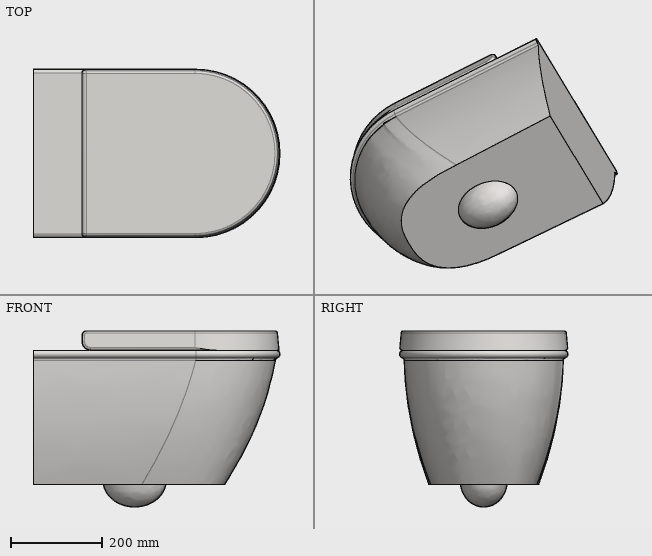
import cadquery as cq
import math


TOTAL_HEIGHT = 386.14

LENGTH = 540.0
WIDTH = 369.1
BEAD_RADIUS = 17.0 / 2
COVE_RADIUS = 6.0
WALL_INSET = 10.0

LID_HEIGHT = 42.6
LID_BACK_X = 106.3
LID_LEAN = 4.0
LID_NOSE_GAP = 2.0
LID_BACK_TOP_RADIUS = 10.0
LID_BACK_BOTTOM_RADIUS = 19.0
LID_EDGE_RADIUS = 5.5

OUTLET_X = 221.5
OUTLET_CENTRE_Z = 10.0
OUTLET_HALF_LENGTH = 68.6
OUTLET_HALF_WIDTH = 51.5
OUTLET_DEPTH = 49.0

FOOT_HALF_WIDTH = 120.3
FOOT_NOSE_START_X = 237.0
FOOT_NOSE_TIP_X = 418.7
SIDE_BOW = 12.0
NOSE_START_BOW = 12.0
NOSE_TIP_BOW = 16.0
FOOT_SIDE_TAPER = 4.0
CIRCLE_POWER = 2.0
FOOT_NOSE_POWER = 2.6
BLUNTING_RATE = 3
NOSE_STEPS = 16
WALL_SECTIONS = 5

RIM_TOP = TOTAL_HEIGHT - OUTLET_DEPTH - LID_HEIGHT
HALF_WIDTH = WIDTH / 2
RIM_NOSE_X = LENGTH - HALF_WIDTH
LID_NOSE_X = RIM_NOSE_X - LID_NOSE_GAP
LID_TOP_HALF_WIDTH = HALF_WIDTH - LID_LEAN

WALL_TOP_HALF_WIDTH = HALF_WIDTH - WALL_INSET
BEAD_Y = HALF_WIDTH - BEAD_RADIUS
BEAD_Z = RIM_TOP - BEAD_RADIUS
COVE_Y = WALL_TOP_HALF_WIDTH + COVE_RADIUS
COVE_ANGLE = math.acos((COVE_Y - BEAD_Y) / (BEAD_RADIUS + COVE_RADIUS))
WALL_TOP = BEAD_Z - (BEAD_RADIUS + COVE_RADIUS) * math.sin(COVE_ANGLE)


def bowed(foot, top, bow, t):
    """Value at height fraction t on a curve from foot to top that bows outwards."""
    return foot + (top - foot) * t + 4 * bow * t * (1 - t)


def nose_point(angle, length, half_width, power):
    """Point of a half superellipse, with angle running from -90 to 90 degrees across the nose."""
    along = length * math.cos(angle) ** (2 / power)
    across = half_width * math.copysign(abs(math.sin(angle)) ** (2 / power), angle)
    return along, across


def wall_outline(t):
    """Level outline of the bowl at height fraction t: straight sides and a superelliptic nose."""
    back_half = bowed(FOOT_HALF_WIDTH, WALL_TOP_HALF_WIDTH, SIDE_BOW, t)
    front_half = back_half - FOOT_SIDE_TAPER * (1 - t)
    nose_start = bowed(FOOT_NOSE_START_X, RIM_NOSE_X, NOSE_START_BOW, t)
    nose_tip = bowed(FOOT_NOSE_TIP_X, RIM_NOSE_X + WALL_TOP_HALF_WIDTH, NOSE_TIP_BOW, t)
    power = CIRCLE_POWER + (FOOT_NOSE_POWER - CIRCLE_POWER) * (1 - t) ** BLUNTING_RATE

    nose = []
    for i in range(1, NOSE_STEPS):
        angle = math.pi * (i / NOSE_STEPS - 1 / 2)
        along, across = nose_point(angle, nose_tip - nose_start, front_half, power)
        nose.append((nose_start + along, across))
    nose.append((nose_start, front_half))

    return (
        cq.Workplane("XY", origin=(0, 0, WALL_TOP * t))
        .moveTo(0, -back_half)
        .lineTo(nose_start, -front_half)
        .spline(nose, tangents=[(1, 0), (-1, 0)], includeCurrent=True)
        .lineTo(0, back_half)
        .close()
        .val()
    )


def make_wall():
    steps = WALL_SECTIONS - 1
    outlines = [wall_outline(i / steps) for i in range(WALL_SECTIONS)]
    return cq.Workplane(cq.Solid.makeLoft(outlines))


def rim_profile(x):
    """Half cross-section of the rim at X = x, from the symmetry plane out to the bead."""
    touch = (
        BEAD_Y + BEAD_RADIUS * math.cos(COVE_ANGLE),
        BEAD_Z - BEAD_RADIUS * math.sin(COVE_ANGLE),
    )
    return (
        cq.Workplane("YZ", origin=(x, 0, 0))
        .moveTo(0, WALL_TOP)
        .lineTo(WALL_TOP_HALF_WIDTH, WALL_TOP)
        .radiusArc(touch, COVE_RADIUS)
        .threePointArc((HALF_WIDTH, BEAD_Z), (BEAD_Y, RIM_TOP))
        .lineTo(0, RIM_TOP)
        .close()
    )


def make_rim():
    left_side = rim_profile(0).extrude(RIM_NOSE_X)
    right_side = left_side.mirror("XZ")
    nose = rim_profile(RIM_NOSE_X).revolve(180, (0, 1), (0, 0))
    return left_side.union(right_side).union(nose)


def make_outlet():
    """Lower half of a unit ball, stretched along each axis; its rim is sunk into the bowl."""
    semi_height = OUTLET_DEPTH + OUTLET_CENTRE_Z
    foot_ratio = math.sqrt(1 - (OUTLET_CENTRE_Z / semi_height) ** 2)
    half_ball = cq.Solid.makeSphere(1, angleDegrees1=-90, angleDegrees2=0)
    stretch = cq.Matrix(
        [
            [OUTLET_HALF_LENGTH / foot_ratio, 0, 0, OUTLET_X],
            [0, OUTLET_HALF_WIDTH / foot_ratio, 0, 0],
            [0, 0, semi_height, OUTLET_CENTRE_Z],
        ]
    )
    return cq.Workplane(half_ball.transformGeometry(stretch))


def make_bowl():
    return make_wall().union(make_rim()).union(make_outlet())


def lid_bar(x_start, x_end):
    """Straight lid bar whose sides lean in towards the top."""
    return (
        cq.Workplane("YZ", origin=(x_start, 0, RIM_TOP))
        .moveTo(-HALF_WIDTH, 0)
        .lineTo(HALF_WIDTH, 0)
        .lineTo(LID_TOP_HALF_WIDTH, LID_HEIGHT)
        .lineTo(-LID_TOP_HALF_WIDTH, LID_HEIGHT)
        .close()
        .extrude(x_end - x_start)
    )


def make_lid_straight():
    """Rear part of the lid: rounded back, and rounded edges all around both sides."""
    bar = lid_bar(LID_BACK_X, LID_NOSE_X)
    bar = bar.edges("<X and >Z").fillet(LID_BACK_TOP_RADIUS)
    bar = bar.faces("<Z").edges("<X").fillet(LID_BACK_BOTTOM_RADIUS)
    side_loops = bar.faces("<Y or >Y").edges("not(>X)")
    return side_loops.fillet(LID_EDGE_RADIUS)


def make_lid_nose():
    """Round lid front; the round along the sides' lower edges runs straight on and fades out."""
    cone = cq.Workplane(
        cq.Solid.makeCone(
            HALF_WIDTH,
            LID_TOP_HALF_WIDTH,
            LID_HEIGHT,
            pnt=cq.Vector(LID_NOSE_X, 0, RIM_TOP),
        )
    )
    cone = cone.faces(">Z").edges().fillet(LID_EDGE_RADIUS)
    envelope = lid_bar(LID_NOSE_X, LENGTH).faces("<Z").edges("|X").fillet(LID_EDGE_RADIUS)
    return cone.intersect(envelope)


def make_lid():
    return make_lid_straight().union(make_lid_nose())


bowl = make_bowl()
lid = make_lid()
result = cq.Compound.makeCompound([bowl.val(), lid.val()])